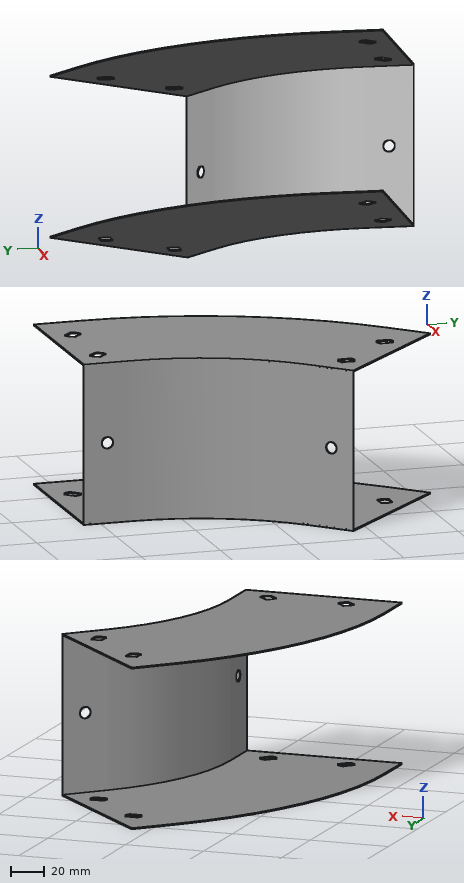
import cadquery as cq
import math

total_length = 221.0
height = 100.0
width = 100.0
inner_radius = 140.1
sheet = 0.8
bend_angle = 45.0

slot_width = 7.0
slot_length = 10.2
wall_hole_diameter = 7.0
inner_slot_offset = 20.0
slot_spacing = 50.0

sine = math.sin(math.radians(bend_angle))
cosine = math.cos(math.radians(bend_angle))
outer_radius = inner_radius + width
leg = (total_length - outer_radius * sine) / (1 + cosine)
bend_center_x = outer_radius
bend_center_y = leg


def arc_point(radius, degrees):
    """Point on the bend, with the angle measured from the end of the first leg."""
    angle = math.radians(degrees)
    return (
        bend_center_x - radius * math.cos(angle),
        bend_center_y + radius * math.sin(angle),
    )


def leg_end(radius):
    """Free end of the second leg, along the tangent to the bend."""
    x, y = arc_point(radius, bend_angle)
    return (x + leg * sine, y + leg * cosine)


def curved_strip(large_radius, small_radius, thickness):
    """Leg, arc and leg between two concentric edges, extruded upward from Z = 0."""
    return (
        cq.Workplane("XY")
        .moveTo(bend_center_x - large_radius, 0)
        .lineTo(*arc_point(large_radius, 0))
        .threePointArc(arc_point(large_radius, bend_angle / 2), arc_point(large_radius, bend_angle))
        .lineTo(*leg_end(large_radius))
        .lineTo(*leg_end(small_radius))
        .lineTo(*arc_point(small_radius, bend_angle))
        .threePointArc(arc_point(small_radius, bend_angle / 2), arc_point(small_radius, 0))
        .lineTo(bend_center_x - small_radius, 0)
        .close()
        .extrude(thickness)
    )


def round_ended_slot(x, y, plate_z, slot_angle):
    """Disc trimmed by two parallel flats, so that its ends are shallow arcs."""
    disc = cq.Workplane("XY").circle(slot_length / 2).extrude(sheet)
    band = cq.Workplane("XY").rect(slot_length, slot_width).extrude(sheet)
    slot = disc.intersect(band).rotate((0, 0, 0), (0, 0, 1), slot_angle)
    return slot.translate((x, y, plate_z))


def end_cutters():
    """Slots and wall hole of the first leg; the slots of the two plates cross at right angles."""
    mid_leg = leg / 2
    inner_slot_x = width - inner_slot_offset
    cutters = (
        cq.Workplane("YZ", origin=(width - 2 * sheet, 0, 0))
        .center(mid_leg, height / 2)
        .circle(wall_hole_diameter / 2)
        .extrude(3 * sheet)
    )
    for plate_z, slot_angle in [(0, 45), (height - sheet, 135)]:
        for slot_x in (inner_slot_x, inner_slot_x - slot_spacing):
            cutters = cutters.add(round_ended_slot(slot_x, mid_leg, plate_z, slot_angle))
    return cutters.combine()


def at_far_end(cutters):
    """Carry the first leg's cutters to the second leg: mid-leg to mid-leg around the bend."""
    shifted = cutters.translate((0, leg, 0))
    return shifted.rotate(
        (bend_center_x, bend_center_y, 0), (bend_center_x, bend_center_y, 1), -bend_angle
    )


plate = curved_strip(outer_radius, inner_radius, sheet)
wall = curved_strip(inner_radius + sheet, inner_radius, height)
channel = plate.union(wall).union(plate.translate((0, 0, height - sheet)))

near_cutters = end_cutters()
result = channel.cut(near_cutters).cut(at_far_end(near_cutters))